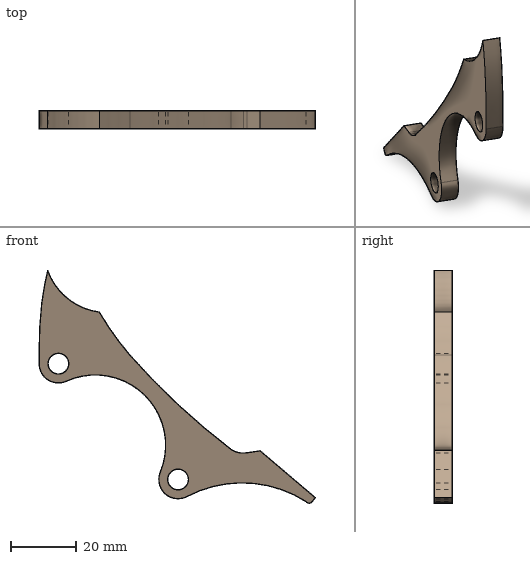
import cadquery as cq
import math

thickness = 5.6
boss_radius = 5.9
hole_diameter = 6.3
upper_boss = (boss_radius, 42.75)
lower_boss = (42.6, 7.3)

grip_radius = 21.5
tail_radius = 36.2
tail_centre_x = 62.2

left_curve_points = [(0.03, 48.6), (0.8, 61.0)]
horn_tip = (2.6, 71.4)
left_curve_end_direction = (0.23, 1)

horn_hollow_mid = (9.0, 62.55)
shoulder = (18.45, 58.6)
upper_spine_mid = (22.8, 51.9)
spine_join = (27.85, 45.4)
lower_spine_mid = (42.3, 30.5)
spine_end = (58.8, 16.5)
notch_mid = (60.7, 15.7)
notch_end = (62.6, 15.4)
notch_flat_end = (63.65, 15.5)
spur = (67.7, 16.1)

tail_tip = (84.65, 1.7)
tip_round_start = (83.55, 0.3)
tip_round_mid = (82.9, 0.0)
tip_round_end_x = 81.8


def toward(start, target, distance):
    """Point at a distance from start along the line to target."""
    scale = distance / math.dist(start, target)
    return tuple(s + scale * (t - s) for s, t in zip(start, target))


def tail_arc_z(x):
    """Height of the tail underside at x."""
    return tail_centre[1] + math.sqrt(tail_radius**2 - (x - tail_centre_x) ** 2)


boss_midpoint = ((upper_boss[0] + lower_boss[0]) / 2, (upper_boss[1] + lower_boss[1]) / 2)
boss_gap_x = lower_boss[0] - upper_boss[0]
boss_gap_z = lower_boss[1] - upper_boss[1]
boss_spacing = math.hypot(boss_gap_x, boss_gap_z)
grip_offset = math.sqrt((grip_radius + boss_radius) ** 2 - (boss_spacing / 2) ** 2)
grip_centre = (
    boss_midpoint[0] + grip_offset * boss_gap_z / boss_spacing,
    boss_midpoint[1] - grip_offset * boss_gap_x / boss_spacing,
)
tail_drop = math.sqrt((tail_radius + boss_radius) ** 2 - (tail_centre_x - lower_boss[0]) ** 2)
tail_centre = (tail_centre_x, lower_boss[1] - tail_drop)

upper_boss_start = (0, upper_boss[1])
upper_boss_end = toward(upper_boss, grip_centre, boss_radius)
lower_boss_start = toward(lower_boss, grip_centre, boss_radius)
lower_boss_end = toward(lower_boss, tail_centre, boss_radius)

diagonal = boss_radius / math.sqrt(2)
upper_boss_mid = (upper_boss[0] - diagonal, upper_boss[1] - diagonal)
lower_boss_mid = (lower_boss[0] - diagonal, lower_boss[1] - diagonal)
grip_mid = toward(grip_centre, boss_midpoint, grip_radius)
tail_mid = (tail_centre_x, tail_centre[1] + tail_radius)
tip_round_end = (tip_round_end_x, tail_arc_z(tip_round_end_x))

outline = (
    cq.Workplane("XZ")
    .moveTo(*upper_boss_start)
    .spline([*left_curve_points, horn_tip], tangents=[(0, 1), left_curve_end_direction], includeCurrent=True)
    .threePointArc(horn_hollow_mid, shoulder)
    .threePointArc(upper_spine_mid, spine_join)
    .threePointArc(lower_spine_mid, spine_end)
    .threePointArc(notch_mid, notch_end)
    .lineTo(*notch_flat_end)
    .lineTo(*spur)
    .lineTo(*tail_tip)
    .lineTo(*tip_round_start)
    .threePointArc(tip_round_mid, tip_round_end)
    .threePointArc(tail_mid, lower_boss_end)
    .threePointArc(lower_boss_mid, lower_boss_start)
    .threePointArc(grip_mid, upper_boss_end)
    .threePointArc(upper_boss_mid, upper_boss_start)
    .close()
)
plate = outline.extrude(thickness)

holes = (
    cq.Workplane("XZ")
    .pushPoints([upper_boss, lower_boss])
    .circle(hole_diameter / 2)
    .extrude(thickness)
)

result = plate.cut(holes)